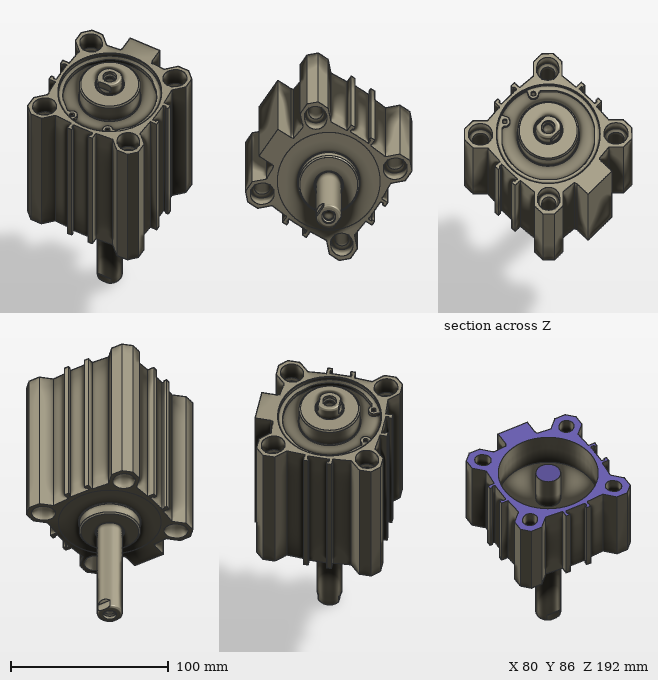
import cadquery as cq
import math

TOTAL_LENGTH = 192.0
BODY_BOTTOM = 74.9
BODY_LENGTH = 102.1
BODY_TOP = BODY_BOTTOM + BODY_LENGTH
BOSS_PROJECTION = 7.9

OUTER_WIDTH = 80.0
OUTER_HALF = OUTER_WIDTH / 2
POST_OUTER_CORNER = 35.0
POST_INNER_CORNER = 27.3
POST_ROOT = 20.7
SIDE_AT_POST = OUTER_HALF - (POST_INNER_CORNER - POST_ROOT)
SIDE_AT_RAIL = 34.4
RAIL_OUTER_EDGE = 9.0
RAIL_NECK_EDGE = 7.0
RAIL_LIP_EDGE = 6.0
RAIL_TOP = 39.0
RAIL_LIP_THICKNESS = 2.0
SLOT_FLOOR = 35.0
OVERALL_DEPTH = 86.0
PORT_BLOCK_TOP = OVERALL_DEPTH - OUTER_HALF
PORT_BLOCK_HALF_WIDTH = 10.8
PORT_BLOCK_ROOT_HALF_WIDTH = 11.3
PORT_BLOCK_ROOT_HEIGHT = 1.7

BORE_DIAMETER = 63.0
RECESS_DIAMETER = 65.0
RECESS_BEVEL = 0.4
RING_GROOVE_DIAMETER = 68.2
POST_HOLE_OFFSET = 30.3
POST_HOLE_WIDTH = 9.0
COUNTERBORE_WIDTH = 14.0
COUNTERBORE_DEPTH = 13.5
POST_HOLE_STRETCH = 1.2

RING_DEPTH = 2.7
RING_THICKNESS = 2.7
RING_INNER_RADIUS = 29.8
RING_FLAT_HALF_ANGLE = 10.5
RING_FLAT_DISTANCE = RING_INNER_RADIUS * math.cos(math.radians(RING_FLAT_HALF_ANGLE))
LUG_X = 12.9
LUG_Y = -26.0
LUG_RADIUS = 3.3
LUG_HOLE_DIAMETER = 3.0
LUG_SHOULDER_X = 17.7
LUG_SHOULDER_Y = -24.0
GAP_ROOT_X = 12.0
GAP_ROOT_Y = -31.9

COVER_SEAT_DEPTH = RING_DEPTH + RING_THICKNESS
FLANGE_THICKNESS = 9.6
COVER_INNER_DEPTH = 28.8
BOSS_DIAMETER = 38.5
BOSS_BEVEL = 1.0
BOSS_ROOT_BEVEL = 0.5
WIPER_SEAT_DIAMETER = 17.7
WIPER_SEAT_DEPTH = 2.0
WIPER_SEAT_BEVEL = 0.48

ROD_DIAMETER = 16.0
ROD_END_ROUND = 2.0
FLAT_HALF_WIDTH = 6.5
FLAT_LENGTH = 5.5
END_HOLE_DIAMETER = 6.7
END_HOLE_MOUTH_DIAMETER = 8.6
END_HOLE_MOUTH_DEPTH = 2.3
END_HOLE_DEPTH = 5.8
END_HOLE_POINT_HEIGHT = 0.5


def cylinder(diameter, z_low, z_high):
    return cq.Workplane("XY").workplane(offset=z_low).circle(diameter / 2).extrude(z_high - z_low)


def revolved(profile):
    """Solid of revolution about Z from (radius, z) points."""
    return cq.Workplane("XZ").polyline(profile).close().revolve(360, (0, 0, 0), (0, 1, 0))


def rotated(points, angle):
    """Points turned about the axis by a whole number of quarter turns, in degrees."""
    cos_a = round(math.cos(math.radians(angle)))
    sin_a = round(math.sin(math.radians(angle)))
    return [(x * cos_a - y * sin_a, x * sin_a + y * cos_a) for x, y in points]


def post_points():
    """Outer corner post at -X, -Y, listed counter-clockwise."""
    return [
        (-SIDE_AT_POST, -POST_ROOT),
        (-OUTER_HALF, -POST_INNER_CORNER),
        (-OUTER_HALF, -POST_OUTER_CORNER),
        (-POST_OUTER_CORNER, -OUTER_HALF),
        (-POST_INNER_CORNER, -OUTER_HALF),
        (-POST_ROOT, -SIDE_AT_POST),
    ]


def rail_side_points():
    """-Y side with two hooked rails that form a sensor slot."""
    lip_bottom = RAIL_TOP - RAIL_LIP_THICKNESS
    left_rail = [
        (-RAIL_OUTER_EDGE, -SIDE_AT_RAIL),
        (-RAIL_OUTER_EDGE, -RAIL_TOP),
        (-RAIL_LIP_EDGE, -RAIL_TOP),
        (-RAIL_LIP_EDGE, -lip_bottom),
        (-RAIL_NECK_EDGE, -lip_bottom),
        (-RAIL_NECK_EDGE, -SLOT_FLOOR),
    ]
    right_rail = [(-x, y) for x, y in reversed(left_rail)]
    return left_rail + right_rail


def port_side_points():
    """Side with the plain port block, before it is turned to +Y."""
    left = [
        (-PORT_BLOCK_ROOT_HALF_WIDTH, -SIDE_AT_RAIL),
        (-PORT_BLOCK_HALF_WIDTH, -SIDE_AT_RAIL - PORT_BLOCK_ROOT_HEIGHT),
        (-PORT_BLOCK_HALF_WIDTH, -PORT_BLOCK_TOP),
    ]
    return left + [(-x, y) for x, y in reversed(left)]


def housing_outline():
    points = []
    for angle in (0, 90, 180, 270):
        side = port_side_points() if angle == 180 else rail_side_points()
        points += rotated(post_points() + side, angle)
    return points


def post_slot(width, z_low, z_high):
    """Slightly stretched hole on the +X axis, at the distance of a corner post."""
    plane = cq.Workplane("XY").workplane(offset=z_low).center(POST_HOLE_OFFSET * math.sqrt(2), 0)
    return plane.slot2D(width + POST_HOLE_STRETCH, width).extrude(z_high - z_low)


def post_hole_cutter():
    """Through slot with a counterbore at each end."""
    through = post_slot(POST_HOLE_WIDTH, BODY_BOTTOM, BODY_TOP)
    lower = post_slot(COUNTERBORE_WIDTH, BODY_BOTTOM, BODY_BOTTOM + COUNTERBORE_DEPTH)
    upper = post_slot(COUNTERBORE_WIDTH, BODY_TOP - COUNTERBORE_DEPTH, BODY_TOP)
    return through.union(lower).union(upper)


def make_housing():
    housing = cq.Workplane("XY").workplane(offset=BODY_BOTTOM).polyline(housing_outline()).close()
    housing = housing.extrude(BODY_LENGTH)

    seat_height = COVER_SEAT_DEPTH + FLANGE_THICKNESS
    housing = housing.cut(cylinder(BORE_DIAMETER, BODY_BOTTOM, BODY_TOP))
    housing = housing.cut(cylinder(RECESS_DIAMETER, BODY_BOTTOM, BODY_BOTTOM + seat_height))
    housing = housing.cut(cylinder(RECESS_DIAMETER, BODY_TOP - seat_height, BODY_TOP))

    recess_radius = RECESS_DIAMETER / 2
    groove_radius = RING_GROOVE_DIAMETER / 2
    ring_top = BODY_TOP - RING_DEPTH
    ring_bottom = ring_top - RING_THICKNESS
    housing = housing.cut(revolved([
        (0, ring_bottom),
        (groove_radius, ring_bottom),
        (groove_radius, ring_top),
        (recess_radius, ring_top),
        (recess_radius, BODY_TOP - RECESS_BEVEL),
        (recess_radius + RECESS_BEVEL, BODY_TOP),
        (0, BODY_TOP),
    ]))

    for angle in (45, 135, 225, 315):
        housing = housing.cut(post_hole_cutter().rotate((0, 0, 0), (0, 0, 1), angle))
    return housing


def make_retaining_ring():
    plane = cq.Workplane("XY").workplane(offset=BODY_TOP - COVER_SEAT_DEPTH)

    opening = plane.circle(RING_INNER_RADIUS).extrude(RING_THICKNESS)
    flats = plane.transformed(rotate=(0, 0, 45)).rect(2 * RING_FLAT_DISTANCE, 2 * RING_FLAT_DISTANCE)
    opening = opening.intersect(flats.extrude(RING_THICKNESS))
    ring = plane.circle(RING_GROOVE_DIAMETER / 2).extrude(RING_THICKNESS).cut(opening)

    gap_slant = (GAP_ROOT_X - LUG_X + LUG_RADIUS) / (LUG_Y - GAP_ROOT_Y)
    gap_end_y = -RING_GROOVE_DIAMETER / 2
    gap_end_x = GAP_ROOT_X + gap_slant * (GAP_ROOT_Y - gap_end_y)
    gap_top_x = LUG_X - LUG_RADIUS
    gap = plane.polyline([
        (-gap_top_x, LUG_Y), (gap_top_x, LUG_Y), (gap_end_x, gap_end_y), (-gap_end_x, gap_end_y),
    ]).close().extrude(RING_THICKNESS)
    ring = ring.cut(gap)

    for side in (-1, 1):
        shoulder = plane.polyline([
            (side * LUG_SHOULDER_X, LUG_SHOULDER_Y),
            (side * LUG_X, LUG_SHOULDER_Y),
            (side * gap_top_x, LUG_Y),
            (side * GAP_ROOT_X, GAP_ROOT_Y),
            (side * LUG_SHOULDER_X, LUG_SHOULDER_Y - LUG_RADIUS),
        ]).close().extrude(RING_THICKNESS)
        lug = plane.center(side * LUG_X, LUG_Y).circle(LUG_RADIUS).extrude(RING_THICKNESS)
        hole = plane.center(side * LUG_X, LUG_Y).circle(LUG_HOLE_DIAMETER / 2).extrude(RING_THICKNESS)
        ring = ring.union(shoulder).union(lug).cut(hole)
    return ring


def make_end_cover(seat_depth):
    """Cover with its boss pointing up; z = 0 is the end face of the housing."""
    rod_radius = ROD_DIAMETER / 2
    boss_radius = BOSS_DIAMETER / 2
    wiper_radius = WIPER_SEAT_DIAMETER / 2
    flange_radius = RECESS_DIAMETER / 2
    flange_bottom = -COVER_SEAT_DEPTH - FLANGE_THICKNESS
    return revolved([
        (rod_radius, -COVER_INNER_DEPTH),
        (BORE_DIAMETER / 2, -COVER_INNER_DEPTH),
        (BORE_DIAMETER / 2, flange_bottom),
        (flange_radius, flange_bottom),
        (flange_radius, -seat_depth),
        (boss_radius + BOSS_ROOT_BEVEL, -seat_depth),
        (boss_radius, BOSS_ROOT_BEVEL - seat_depth),
        (boss_radius, BOSS_PROJECTION - BOSS_BEVEL),
        (boss_radius - BOSS_BEVEL, BOSS_PROJECTION),
        (wiper_radius + WIPER_SEAT_BEVEL, BOSS_PROJECTION),
        (wiper_radius, BOSS_PROJECTION - WIPER_SEAT_BEVEL),
        (wiper_radius, BOSS_PROJECTION - WIPER_SEAT_DEPTH),
        (rod_radius, BOSS_PROJECTION - WIPER_SEAT_DEPTH),
    ])


def rod_end_cutter():
    """Material removed at the lower rod end: two wrench flats and a stepped end hole."""
    rod_radius = ROD_DIAMETER / 2
    slope = rod_radius - FLAT_HALF_WIDTH
    flat_profile = [
        (FLAT_HALF_WIDTH, 0),
        (rod_radius, 0),
        (rod_radius, FLAT_LENGTH + slope),
        (FLAT_HALF_WIDTH, FLAT_LENGTH),
    ]
    flat = cq.Workplane("YZ").polyline(flat_profile).close().extrude(rod_radius, both=True)

    hole_radius = END_HOLE_DIAMETER / 2
    mouth_radius = END_HOLE_MOUTH_DIAMETER / 2
    step_height = mouth_radius - hole_radius
    hole = revolved([
        (0, 0),
        (mouth_radius, 0),
        (mouth_radius, END_HOLE_MOUTH_DEPTH),
        (hole_radius, END_HOLE_MOUTH_DEPTH + step_height),
        (hole_radius, END_HOLE_DEPTH),
        (0, END_HOLE_DEPTH + END_HOLE_POINT_HEIGHT),
    ])
    return flat.union(flat.mirror("XZ")).union(hole)


def make_piston_rod():
    rod = cylinder(ROD_DIAMETER, 0, TOTAL_LENGTH).faces("<Z or >Z").edges().fillet(ROD_END_ROUND)
    lower_cut = rod_end_cutter()
    upper_cut = lower_cut.mirror("XY").translate((0, 0, TOTAL_LENGTH))
    for cutter in (lower_cut, upper_cut):
        rod = rod.cut(cutter)
    return rod


housing = make_housing()
retaining_ring = make_retaining_ring()
top_cover = make_end_cover(COVER_SEAT_DEPTH).translate((0, 0, BODY_TOP))
bottom_cover = make_end_cover(0).mirror("XY").translate((0, 0, BODY_BOTTOM))
piston_rod = make_piston_rod()

result = cq.Compound.makeCompound([
    housing.val(),
    retaining_ring.val(),
    top_cover.val(),
    bottom_cover.val(),
    piston_rod.val(),
])